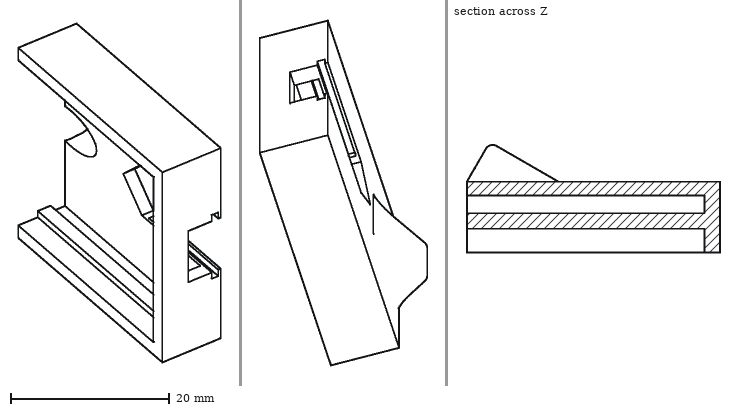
import cadquery as cq
import math

length = 32.0
height = 30.0
depth = 9.0
wall = 2.0
back_wall = 1.8
floor_y = depth - back_wall
end_wall_x = length - wall
middle_z = height / 2

rail_front_y = 3.0
rail_width = 2.0
rail_height = 1.0

window_height = 8.05
window_tip_x = 12.93
window_shoulder_x = window_tip_x + 4.13
end_opening_front_y = 4.0

groove_width = 1.0
groove_depth = 1.0
groove_start_x = window_shoulder_x + 1.0
groove_front_y = floor_y + (back_wall - groove_width) / 2

wedge_length = 11.55
wedge_width = 9.0
wedge_angle = 30.0
wedge_rise = wedge_length * math.sin(math.radians(wedge_angle)) * math.cos(math.radians(wedge_angle))
apex_x = wedge_rise * math.tan(math.radians(wedge_angle))
edge_radius = 1.0
base_clearance = 0.03

bore_radius = 2.8
bore_floor_end_x = 7.0
bore_reach = 19.2


def block(x_range, y_range, z_range):
    """Box spanning the given ranges along X, Y and Z."""
    sizes = [end - start for start, end in (x_range, y_range, z_range)]
    corner = (x_range[0], y_range[0], z_range[0])
    return cq.Workplane("XY").box(*sizes, centered=False).translate(corner)


def make_tray():
    tray = block((0, length), (0, depth), (0, height))
    tray = tray.cut(block((0, end_wall_x), (0, floor_y), (wall, height - wall)))
    rail_y = (rail_front_y, rail_front_y + rail_width)
    for rail_z in (wall, height - wall - rail_height):
        tray = tray.union(block((0, end_wall_x), rail_y, (rail_z, rail_z + rail_height)))
    return tray


def make_window():
    bottom = middle_z - window_height / 2
    top = middle_z + window_height / 2
    pointed = (
        cq.Workplane("XZ", origin=(0, floor_y, 0))
        .moveTo(window_tip_x, middle_z)
        .lineTo(window_shoulder_x, top)
        .lineTo(end_wall_x, top)
        .lineTo(end_wall_x, bottom)
        .lineTo(window_shoulder_x, bottom)
        .close()
        .extrude(-back_wall)
    )
    end_opening = block((end_wall_x, length), (end_opening_front_y, depth), (bottom, top))
    grooves = block(
        (groove_start_x, length),
        (groove_front_y, groove_front_y + groove_width),
        (bottom - groove_depth, top + groove_depth),
    )
    return pointed.union(end_opening).union(grooves)


def make_wedge():
    """Triangular wedge whose sides flare into the back wall, with rounded outer edges."""
    half = wedge_width / 2
    foot = half + edge_radius
    flare_y = depth + edge_radius
    top_y = depth + wedge_rise
    arc_offset = edge_radius * (1 - math.sqrt(0.5))
    flared_bar = (
        cq.Workplane("YZ", origin=(0, 0, middle_z))
        .moveTo(floor_y, -foot)
        .lineTo(depth, -foot)
        .threePointArc((depth + arc_offset, -half - arc_offset), (flare_y, -half))
        .lineTo(top_y, -half)
        .lineTo(top_y, half)
        .lineTo(flare_y, half)
        .threePointArc((depth + arc_offset, half + arc_offset), (depth, foot))
        .lineTo(floor_y, foot)
        .close()
        .extrude(wedge_length)
    )
    triangle = (
        cq.Workplane("XY")
        .moveTo(0, depth)
        .lineTo(wedge_length, depth)
        .lineTo(apex_x, depth + wedge_rise)
        .close()
        .extrude(height)
    )
    wedge = flared_bar.intersect(triangle)
    above_wall = cq.selectors.BoxSelector(
        (0, depth + base_clearance, 0),
        (length, depth + wedge_rise + base_clearance, height),
    )
    return wedge.edges(above_wall).edges("not |X").fillet(edge_radius)


def make_bore():
    axis_x = bore_floor_end_x - bore_radius / math.sin(math.radians(wedge_angle))
    direction = cq.Vector(-math.cos(math.radians(wedge_angle)), math.sin(math.radians(wedge_angle)), 0)
    start = cq.Vector(axis_x, floor_y, middle_z) - direction * (bore_reach / 2)
    return cq.Workplane(cq.Solid.makeCylinder(bore_radius, bore_reach, start, direction))


result = make_tray().cut(make_window()).union(make_wedge()).cut(make_bore())